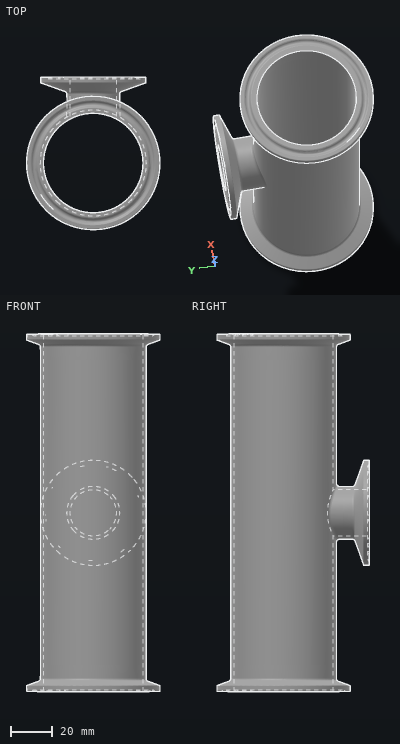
import cadquery as cq

run_length = 171.5
run_outer_dia = 50.7
run_bore_dia = 47.5
run_flange_dia = 64.0
run_groove_dia = 56.2
run_rim_depth = 3.1
run_rim_fillet = 0.5
run_cone_depth = 5.5

overall_depth = 73.2
branch_outer_dia = 25.4
branch_bore_dia = 22.1
branch_flange_dia = 50.4
branch_groove_dia = 43.5
branch_rim_depth = 3.0
branch_rim_fillet = 0.3
branch_cone_depth = 7.4
branch_reach = overall_depth - run_flange_dia / 2
junction_fillet = 1.4

ferrule_height = 12.7
rim_setback = 0.2
groove_width = 2.7
groove_depth = 1.0
groove_edge_fillet = 0.9
neck_fillet = 1.2


def fillet_circle(body, radius, z, fillet_radius):
    """Round the circular edge of the given radius that lies at height z."""
    tolerance = 0.0002
    edge = body.edges("%CIRCLE").filter(
        lambda e: abs(e.radius() - radius) < tolerance and abs(e.Center().z - z) < tolerance
    )
    return edge.fillet(fillet_radius)


def ferrule(outer_dia, bore_dia, flange_dia, groove_dia, rim_depth, rim_fillet, cone_depth):
    """Clamp ferrule with its sealing face at z = 0 and its pipe stub toward -Z.

    The rim outside the gasket groove sits slightly behind the sealing face.
    """
    outer_r = outer_dia / 2
    bore_r = bore_dia / 2
    rim_r = flange_dia / 2
    groove_r = groove_dia / 2
    groove_inner_r = groove_r - groove_width / 2
    groove_outer_r = groove_r + groove_width / 2
    body = (
        cq.Workplane("XZ")
        .moveTo(bore_r, 0)
        .lineTo(groove_inner_r, 0)
        .threePointArc((groove_r, -groove_depth), (groove_outer_r, -rim_setback))
        .lineTo(rim_r, -rim_setback)
        .lineTo(rim_r, -rim_depth)
        .lineTo(outer_r, -cone_depth)
        .lineTo(outer_r, -ferrule_height)
        .lineTo(bore_r, -ferrule_height)
        .close()
        .revolve(360, (0, 0), (0, 1))
    )
    body = fillet_circle(body, groove_inner_r, 0, groove_edge_fillet)
    body = fillet_circle(body, groove_outer_r, -rim_setback, groove_edge_fillet)
    body = fillet_circle(body, rim_r, -rim_setback, rim_fillet)
    body = fillet_circle(body, rim_r, -rim_depth, rim_fillet)
    return fillet_circle(body, outer_r, -cone_depth, neck_fillet)


def tee():
    """Plain run tube with a short branch tube blended into it, both bored through."""
    half_length = run_length / 2 - ferrule_height
    branch_length = branch_reach - ferrule_height
    branch_r = branch_outer_dia / 2
    run_tube = cq.Workplane("XY").circle(run_outer_dia / 2).extrude(half_length, both=True)
    branch_tube = cq.Workplane("XZ").circle(branch_r).extrude(-branch_length)

    margin = 0.2
    junction = cq.selectors.BoxSelector(
        (-branch_r - margin, 0, -branch_r - margin),
        (branch_r + margin, branch_length - margin, branch_r + margin),
        boundingbox=True,
    )
    body = run_tube.union(branch_tube).edges(junction).fillet(junction_fillet)

    run_bore = cq.Workplane("XY").circle(run_bore_dia / 2).extrude(half_length, both=True)
    branch_bore = cq.Workplane("XZ").circle(branch_bore_dia / 2).extrude(-branch_length)
    return body.cut(run_bore).cut(branch_bore)


top_ferrule = ferrule(
    run_outer_dia,
    run_bore_dia,
    run_flange_dia,
    run_groove_dia,
    run_rim_depth,
    run_rim_fillet,
    run_cone_depth,
).translate((0, 0, run_length / 2))
bottom_ferrule = top_ferrule.mirror("XY")
branch_ferrule = ferrule(
    branch_outer_dia,
    branch_bore_dia,
    branch_flange_dia,
    branch_groove_dia,
    branch_rim_depth,
    branch_rim_fillet,
    branch_cone_depth,
)
branch_ferrule = branch_ferrule.rotate((0, 0, 0), (1, 0, 0), -90)
branch_ferrule = branch_ferrule.translate((0, branch_reach, 0))

result = tee()
for end in (top_ferrule, bottom_ferrule, branch_ferrule):
    result = result.union(end, clean=False)
result = cq.Workplane(result.solids().val())